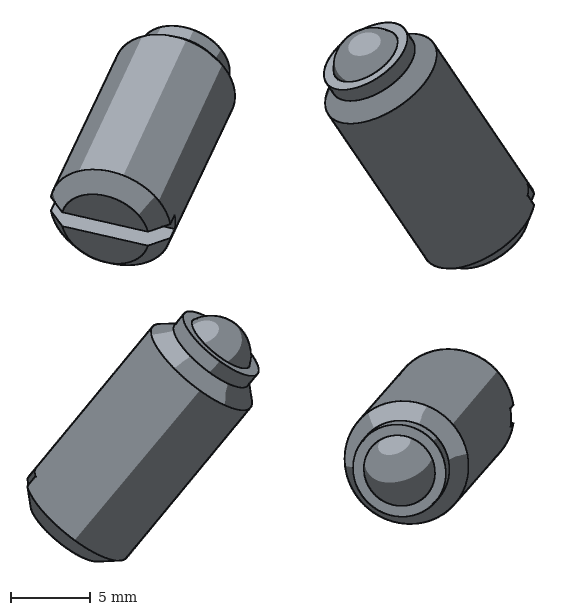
import cadquery as cq

total_length = 17.5
body_radius = 3.999
ball_radius = 2.5
ball_projection = 1.5

slot_end_chamfer = 1.1
collar_radius = 3.0
collar_length = 1.0

slot_width = 1.2
slot_depth = 1.96

housing_length = total_length - ball_projection
collar_start = housing_length - collar_length
shoulder_chamfer = body_radius - collar_radius
ball_center_y = total_length - ball_radius


def make_ball():
    """Full sphere projecting beyond the collar."""
    return cq.Workplane("XY").sphere(ball_radius).translate((0, ball_center_y, 0))


def make_housing_blank():
    """Revolved body with a chamfer at each end and a narrower collar."""
    profile = [
        (0, 0),
        (body_radius - slot_end_chamfer, 0),
        (body_radius, slot_end_chamfer),
        (body_radius, collar_start - shoulder_chamfer),
        (collar_radius, collar_start),
        (collar_radius, housing_length),
        (0, housing_length),
    ]
    return cq.Workplane("XY").polyline(profile).close().revolve(360, (0, 0, 0), (0, 1, 0))


def make_slot():
    """Screwdriver slot running through the full width along X."""
    return cq.Workplane("XY").box(
        2 * body_radius, slot_depth, slot_width, centered=(True, False, True)
    )


def make_housing():
    """Slotted housing with a spherical seat that matches the ball."""
    return make_housing_blank().cut(make_slot()).cut(make_ball())


housing = make_housing()
ball = make_ball()

result = cq.Compound.makeCompound([housing.solids().val(), ball.val()])